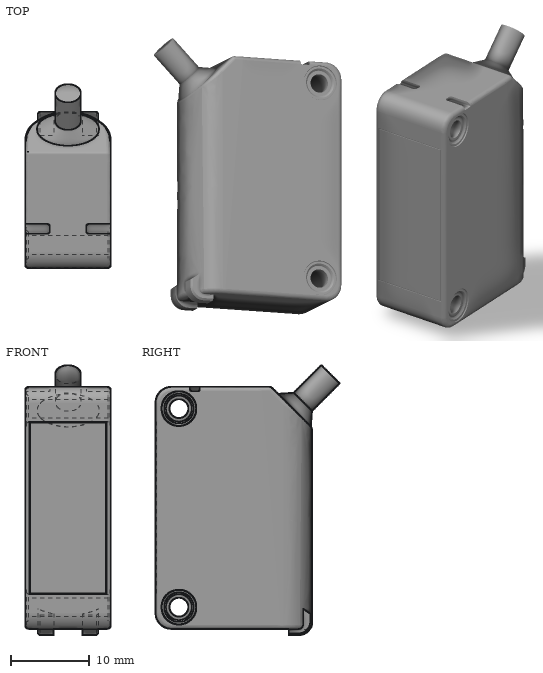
import cadquery as cq
import math

width = 11.0
height = 31.0
half_width = width / 2

back_radius = 7.1
back_apex_y = 20.05
side_end_y = 16.3
front_edge_radius = 2.07
bevel_start_y = 14.8
edge_fillet = 0.52
side_draft_angle = 3.0
draft_line_top_y = 13.55
draft_line_bottom_y = 16.03

hole_diameter = 2.4
seat_diameter = 3.3
cone_diameter = 3.8
recess_floor_diameter = 4.4
recess_diameter = 4.5
recess_depth = 0.15
seat_depth = 0.4
hole_inset_y = 3.0
hole_inset_z = 2.8

window_width = 9.88
window_margin_z = 4.45
window_groove_width = 0.15
window_groove_depth = 0.1

slot_y = 5.05
slot_width = 1.25
slot_length = 3.18
slot_depth = 0.55
slot_corner_radius = 0.35
slot_floor_fillet = 0.17

cable_diameter = 3.3
cable_length = 4.98
relief_width = 7.95
relief_depth = 5.98
relief_height = 1.52
relief_centre_y = 17.8
relief_foot_z = height - (relief_centre_y - bevel_start_y)

foot_inner_x = 1.83
foot_outer_x = 3.87
foot_drop = 0.8
foot_front_y = 17.05
foot_top_z = 2.75
foot_slope_run = 1.38
foot_slope_drop = 0.97
foot_corner_radius = 1.73
foot_edge_chamfer = 0.25

overlap = 0.35


def draw_plan(z, draft_line_y):
    """Plan outline at height z, with sides that turn inwards behind draft_line_y."""
    back_centre_y = back_apex_y - back_radius
    side_end_x = half_width - (side_end_y - draft_line_y) * math.tan(math.radians(side_draft_angle))
    rise = side_end_y - back_centre_y
    corner_radius = (back_radius**2 - side_end_x**2 - rise**2) / (2 * (back_radius - side_end_x))
    join_scale = back_radius / (back_radius - corner_radius)
    join_x = (side_end_x - corner_radius) * join_scale
    join_y = back_centre_y + rise * join_scale
    half_turn = math.atan2(rise, side_end_x - corner_radius) / 2
    middle_x = side_end_x - corner_radius + corner_radius * math.cos(half_turn)
    middle_y = side_end_y + corner_radius * math.sin(half_turn)
    return (
        cq.Workplane("XY", origin=(0, 0, z))
        .moveTo(-half_width, 0)
        .lineTo(half_width, 0)
        .lineTo(half_width, draft_line_y)
        .lineTo(side_end_x, side_end_y)
        .threePointArc((middle_x, middle_y), (join_x, join_y))
        .threePointArc((0, back_apex_y), (-join_x, join_y))
        .threePointArc((-middle_x, middle_y), (-side_end_x, side_end_y))
        .lineTo(-half_width, draft_line_y)
        .close()
        .wire()
        .val()
    )


def make_housing_blank():
    """Drafted body with a rounded back, trimmed to the side outline."""
    bottom = draw_plan(0, draft_line_bottom_y)
    top = draw_plan(height, draft_line_top_y)
    body = cq.Workplane(cq.Solid.makeLoft([bottom, top], True))
    far_y = back_apex_y + overlap
    side = (
        cq.Workplane("YZ")
        .moveTo(0, 0)
        .lineTo(far_y, 0)
        .lineTo(far_y, height - (far_y - bevel_start_y))
        .lineTo(bevel_start_y, height)
        .lineTo(0, height)
        .close()
        .extrude(half_width + overlap, both=True)
        .edges("|X and <Y")
        .fillet(front_edge_radius)
    )
    return body.intersect(side)


def round_edges(housing):
    """Round the rim of the front, top, bevel and underside, and the crease above the bevel."""
    rim = housing.edges("|Z and <Y")
    bottom = housing.faces("<Z").edges("not |X")
    top = housing.faces(">Z").edges("not <Y")
    bevel = housing.faces(cq.NearestToPointSelector((0, relief_centre_y, relief_foot_z))).edges()
    return rim.add(bottom).add(top).add(bevel).fillet(edge_fillet)


def make_mounting_hole(z):
    """Stepped through hole, recessed alike on both sides."""
    depth_profile = [
        (recess_diameter / 2, half_width),
        (recess_floor_diameter / 2, half_width - recess_depth),
        (cone_diameter / 2, half_width - recess_depth),
        (seat_diameter / 2, half_width - seat_depth),
        (hole_diameter / 2, half_width - seat_depth),
    ]
    mirrored = [(radius, -x) for radius, x in reversed(depth_profile)]
    return (
        cq.Workplane("XY")
        .polyline([(0, half_width)] + depth_profile + mirrored + [(0, -half_width)])
        .close()
        .revolve(360, (0, 0), (0, 1))
        .rotate((0, 0, 0), (0, 0, 1), 90)
        .translate((0, hole_inset_y, z))
    )


def make_window_groove():
    """Rectangular ring sunk into the front face."""
    window_height = height - 2 * window_margin_z
    inset = 2 * window_groove_width
    return (
        cq.Workplane("XZ", origin=(0, 0, height / 2))
        .rect(window_width, window_height)
        .rect(window_width - inset, window_height - inset)
        .extrude(-window_groove_depth)
    )


def make_top_slot():
    """Slot with a rounded end and floor edges, open at the +X side."""
    length = slot_length + slot_width
    return (
        cq.Workplane("XY", origin=(half_width - slot_length + length / 2, slot_y, height))
        .rect(length, slot_width)
        .extrude(-slot_depth)
        .edges("|Z and <X")
        .fillet(slot_corner_radius)
        .faces("<Z")
        .edges()
        .fillet(slot_floor_fillet)
    )


def make_cable():
    """Elliptical strain relief narrowing to the round cable."""
    bevel = cq.Plane(origin=(0, relief_centre_y, relief_foot_z), xDir=(1, 0, 0), normal=(0, 1, 1))
    relief = (
        cq.Workplane(bevel)
        .ellipse(relief_width / 2, relief_depth / 2)
        .workplane(offset=relief_height)
        .circle(cable_diameter / 2)
        .loft(ruled=True)
    )
    cable = (
        cq.Workplane(bevel)
        .workplane(offset=-overlap)
        .circle(cable_diameter / 2)
        .extrude(overlap + relief_height + cable_length)
    )
    return relief.union(cable)


def make_foot():
    """Hook wrapping the lower back edge on the +X half."""
    root_y = back_apex_y - foot_slope_run
    foot = (
        cq.Workplane("YZ", origin=(foot_inner_x, 0, 0))
        .moveTo(foot_front_y, -foot_drop)
        .lineTo(back_apex_y - foot_corner_radius, -foot_drop)
        .radiusArc((back_apex_y, foot_corner_radius - foot_drop), -foot_corner_radius)
        .lineTo(back_apex_y, foot_top_z - foot_slope_drop)
        .lineTo(root_y, foot_top_z)
        .lineTo(root_y, overlap)
        .lineTo(foot_front_y, overlap)
        .close()
        .extrude(foot_outer_x - foot_inner_x)
    )
    back_edge_z = (foot_corner_radius + foot_top_z - foot_slope_drop - foot_drop) / 2
    back_edge = cq.NearestToPointSelector((foot_outer_x, back_apex_y, back_edge_z))
    return foot.edges(back_edge).chamfer(foot_edge_chamfer)


def both_sides(solid):
    """The solid together with its mirror image across the middle of the width."""
    return solid.union(solid.mirror("YZ"))


housing = round_edges(make_housing_blank())
for hole_z in (hole_inset_z, height - hole_inset_z):
    housing = housing.cut(make_mounting_hole(hole_z))
housing = housing.cut(make_window_groove())
housing = housing.cut(both_sides(make_top_slot()))

result = housing.union(both_sides(make_foot())).union(make_cable())